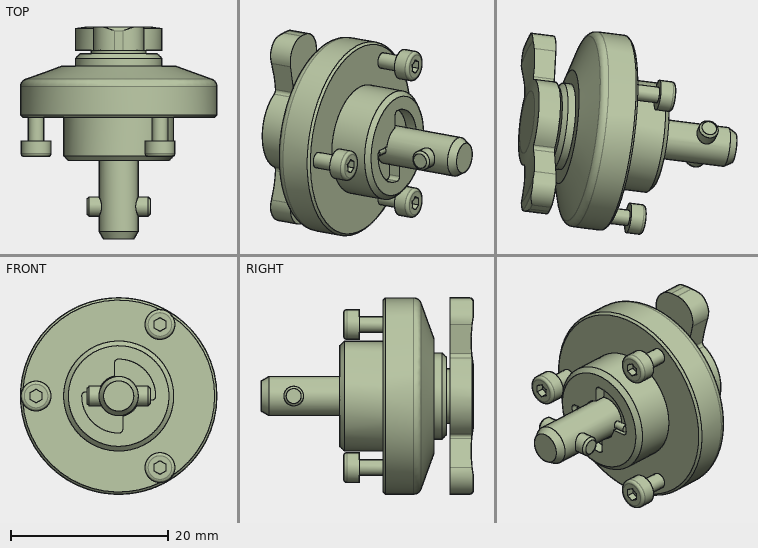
import cadquery as cq
import math


flange_radius = 12.5
flange_edge_chamfer = 0.3
flange_height = 6.5
flange_shoulder_height = 4.6
flange_slope_angle = 20.0
flange_shoulder_fillet = 1.0

collar_radius = 5.5
collar_top = 8.1
collar_chamfer = 0.6
neck_radius = 3.5

knob_bottom = 8.5
knob_top = 11.5
knob_radius = collar_radius
wing_reach = flange_radius
wing_round_radius = 2.8
wing_tip_half_width = 0.53
wing_taper_angle = 12.5
wing_root_fillet = 0.5
wing_tip_fillet = 0.5
dish_inner_radius = 4.0
dish_outer_radius = 10.6
dish_depth = 0.3

boss_radius = 7.0
boss_length = 5.5
boss_chamfer = 0.6
pocket_radius = 4.7
pocket_overlap = 0.525
pocket_corner_fillet = 0.49
pocket_depth = 1.5
bore_radius = 2.6
stop_pin_diameter = 0.98
stop_pin_length = 8.0
stop_pin_depth = 0.65

shaft_radius = 2.5
shaft_end = 15.5
shaft_chamfer_length = 1.0
shaft_chamfer_angle = 30.0
cross_pin_diameter = 2.5
cross_pin_length = 8.1
cross_pin_chamfer = 0.3
cross_pin_offset = 11.35

screw_circle_radius = 10.5
screw_angles = (60, 180, 300)
shank_diameter = 2.0
shank_length = 3.0
screw_head_diameter = 3.8
screw_head_length = 2.0
screw_head_fillet = 0.4
hex_across_flats = 1.5
hex_depth = 1.0
hex_turn = 30.0


def plane_at(y):
    """Plane facing -Y at the given height, with local x along X and local y along Z."""
    return cq.Workplane("XZ", origin=(0, y, 0))


def cylinder(radius, y_start, y_end):
    """Cylinder about the Y axis between two heights, y_start being the higher one."""
    return plane_at(y_start).circle(radius).extrude(y_start - y_end)


def pin_along_x(diameter, length, y):
    """Pin centred on the axis, lying along X."""
    start = cq.Workplane("YZ", origin=(-length / 2, 0, 0))
    return start.center(y, 0).circle(diameter / 2).extrude(length)


def make_flange():
    slope = math.tan(math.radians(flange_slope_angle))
    top_radius = flange_radius - (flange_height - flange_shoulder_height) / slope
    flange = (
        cq.Workplane("XY")
        .moveTo(0, 0)
        .lineTo(flange_radius - flange_edge_chamfer, 0)
        .lineTo(flange_radius, flange_edge_chamfer)
        .lineTo(flange_radius, flange_shoulder_height)
        .lineTo(top_radius, flange_height)
        .lineTo(0, flange_height)
        .close()
        .revolve(360, (0, 0, 0), (0, 1, 0))
    )
    margin = flange_edge_chamfer
    side = flange_radius + margin
    shoulder = cq.selectors.BoxSelector(
        (-side, flange_shoulder_height - margin, -side),
        (side, flange_shoulder_height + margin, side),
        boundingbox=True,
    )
    return flange.edges(shoulder).fillet(flange_shoulder_fillet)


def make_collar():
    collar = cylinder(collar_radius, collar_top, flange_height)
    collar = collar.faces(">Y").chamfer(collar_chamfer)
    return collar.union(cylinder(neck_radius, knob_bottom, collar_top))


def make_wing():
    """Upper wing: a rounded paddle that narrows towards the knob axis."""
    taper = math.radians(wing_taper_angle)
    tip_angle = math.asin(wing_tip_half_width / wing_reach)
    tip_z = wing_reach * math.cos(tip_angle)
    round_centre_distance = wing_reach - wing_round_radius
    round_centre_x = round_centre_distance * math.sin(tip_angle)
    round_centre_z = round_centre_distance * math.cos(tip_angle)

    def round_point(angle):
        return (
            round_centre_x + wing_round_radius * math.cos(angle),
            round_centre_z + wing_round_radius * math.sin(angle),
        )

    tangent_x, tangent_z = round_point(-taper)
    middle_x, middle_z = round_point(math.pi / 4)
    root_x = tangent_x - tangent_z * math.tan(taper)
    return (
        plane_at(knob_top)
        .moveTo(root_x, 0)
        .lineTo(tangent_x, tangent_z)
        .threePointArc((middle_x, middle_z), (wing_tip_half_width, tip_z))
        .threePointArc((0, wing_reach), (-wing_tip_half_width, tip_z))
        .threePointArc((-middle_x, middle_z), (-tangent_x, tangent_z))
        .lineTo(-root_x, 0)
        .close()
        .extrude(knob_top - knob_bottom)
    )


def make_knob_envelope():
    """Turned shape that gives the knob its dished top and rounded wing tips."""
    fillet_offset = wing_tip_fillet * (1 - math.sqrt(0.5))
    return (
        cq.Workplane("XY")
        .moveTo(0, knob_bottom)
        .lineTo(wing_reach, knob_bottom)
        .lineTo(wing_reach, knob_top - wing_tip_fillet)
        .threePointArc(
            (wing_reach - fillet_offset, knob_top - fillet_offset),
            (wing_reach - wing_tip_fillet, knob_top),
        )
        .lineTo(dish_outer_radius, knob_top)
        .threePointArc(
            ((dish_inner_radius + dish_outer_radius) / 2, knob_top - dish_depth),
            (dish_inner_radius, knob_top),
        )
        .lineTo(0, knob_top)
        .close()
        .revolve(360, (0, 0, 0), (0, 1, 0))
    )


def make_knob():
    wing = make_wing()
    knob = cylinder(knob_radius, knob_top, knob_bottom)
    knob = knob.union(wing).union(wing.mirror("XY"))
    wing_roots = cq.selectors.BoxSelector(
        (-wing_round_radius, knob_bottom, -knob_radius),
        (wing_round_radius, knob_top, knob_radius),
    )
    knob = knob.edges("|Y").edges(wing_roots).fillet(wing_root_fillet)
    return knob.intersect(make_knob_envelope())


def make_pocket():
    """Quarter-round pocket in the +X +Z quadrant, running slightly past both centre lines."""
    arc_end = math.sqrt(pocket_radius**2 - pocket_overlap**2)
    arc_middle = pocket_radius * math.sqrt(0.5)
    return (
        plane_at(-boss_length + pocket_depth)
        .moveTo(-pocket_overlap, -pocket_overlap)
        .lineTo(arc_end, -pocket_overlap)
        .threePointArc((arc_middle, arc_middle), (-pocket_overlap, arc_end))
        .close()
        .extrude(pocket_depth)
        .edges("|Y and (>X or >Z)")
        .fillet(pocket_corner_fillet)
    )


def make_boss():
    boss = cylinder(boss_radius, 0, -boss_length).faces("<Y").chamfer(boss_chamfer)
    pocket = make_pocket()
    boss = boss.cut(pocket).cut(pocket.rotate((0, 0, 0), (0, 1, 0), 180))
    boss = boss.cut(cylinder(bore_radius, -boss_length + pocket_depth, -boss_length))
    stop_pin_y = -boss_length + stop_pin_depth
    return boss.union(pin_along_x(stop_pin_diameter, stop_pin_length, stop_pin_y))


def make_shaft():
    tip_inset = shaft_chamfer_length * math.tan(math.radians(shaft_chamfer_angle))
    shaft = (
        cq.Workplane("XY")
        .lineTo(shaft_radius, 0)
        .lineTo(shaft_radius, -shaft_end + shaft_chamfer_length)
        .lineTo(shaft_radius - tip_inset, -shaft_end)
        .lineTo(0, -shaft_end)
        .close()
        .revolve(360, (0, 0, 0), (0, 1, 0))
    )
    cross_pin = pin_along_x(cross_pin_diameter, cross_pin_length, -cross_pin_offset)
    return shaft.union(cross_pin.faces("<X or >X").chamfer(cross_pin_chamfer))


def make_screw(angle):
    """Socket cap screw standing out of the mounting face at the given angle."""
    screw_end = -shank_length - screw_head_length
    head = cylinder(screw_head_diameter / 2, -shank_length, screw_end)
    head = head.faces("<Y").edges().fillet(screw_head_fillet)
    hex_socket = (
        plane_at(screw_end + hex_depth)
        .polygon(6, hex_across_flats / math.cos(math.pi / 6))
        .extrude(hex_depth)
        .rotate((0, 0, 0), (0, 1, 0), hex_turn)
    )
    screw = cylinder(shank_diameter / 2, 0, -shank_length).union(head).cut(hex_socket)
    x = screw_circle_radius * math.cos(math.radians(angle))
    z = screw_circle_radius * math.sin(math.radians(angle))
    return screw.translate((x, 0, z))


result = make_flange()
for component in (make_collar(), make_knob(), make_boss(), make_shaft()):
    result = result.union(component)
for screw_angle in screw_angles:
    result = result.union(make_screw(screw_angle))